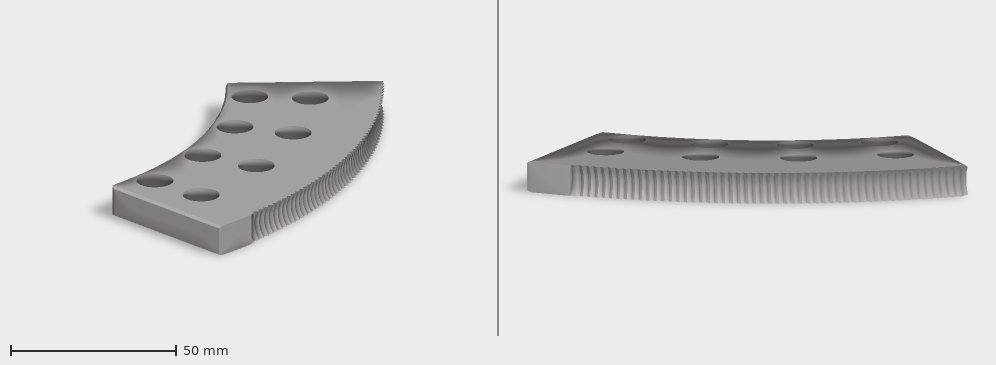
import cadquery as cq
import math

thickness = 9.5
sector_angle = 48.3
outer_radius = 163.5
inner_radius = 115.2
corner_radius = 3.0

end_bevel_width = 1.3
end_bevel_depth = 0.5
inner_bevel = 0.7

hole_diameter = 11.2
hole_row_radii = (122.8, 141.1)
holes_per_row = 4
hole_spacing_angle = sector_angle / holes_per_row

worm_crest_radius = 7.3
throat_depth = 2.1
tooth_depth = 0.7
tooth_pitch_angle = 0.82
throat_start_angle = 5.0
first_groove_angle = 5.9

worm_axis_radius = outer_radius - throat_depth + worm_crest_radius
tooth_pitch = math.radians(tooth_pitch_angle) * worm_axis_radius
lead_angle = math.degrees(math.atan(tooth_pitch / (2 * math.pi * worm_crest_radius)))
half_thickness = thickness / 2


def polar(radius, angle):
    return (radius * math.cos(math.radians(angle)), radius * math.sin(math.radians(angle)))


def ring_sector():
    """Plate swept around the wheel axis, with its inner rim bevelled on both faces."""
    profile = [
        (outer_radius, -half_thickness),
        (outer_radius, half_thickness),
        (inner_radius + inner_bevel, half_thickness),
        (inner_radius, half_thickness - inner_bevel),
        (inner_radius, inner_bevel - half_thickness),
        (inner_radius + inner_bevel, -half_thickness),
    ]
    return cq.Workplane("XZ").polyline(profile).close().revolve(sector_angle, (0, 0), (0, 1))


def end_bevel_cutters():
    """Triangular bars that bevel the straight end on the X axis, on both faces."""
    corner = [
        (0, half_thickness),
        (end_bevel_width, half_thickness),
        (0, half_thickness - end_bevel_depth),
    ]
    bar = cq.Workplane("YZ").polyline(corner).close().extrude(outer_radius)
    return bar.union(bar.mirror("XY"))


def worm_groove(angle):
    """V-shaped disc around the worm axis, tilted by the lead angle."""
    groove_tip_radius = worm_crest_radius + tooth_depth
    profile = [(0, -tooth_pitch / 2), (worm_crest_radius, -tooth_pitch / 2),
               (groove_tip_radius, 0), (worm_crest_radius, tooth_pitch / 2), (0, tooth_pitch / 2)]
    disc = cq.Workplane("XY").polyline(profile).close().revolve(360, (0, 0), (0, 1))
    disc = disc.rotate((0, 0, 0), (1, 0, 0), lead_angle)
    return disc.translate((worm_axis_radius, 0, 0)).rotate((0, 0, 0), (0, 0, 1), angle)


def throat():
    """Ring following the worm crest, running out past the slanted end of the segment."""
    sweep_angle = sector_angle - throat_start_angle + tooth_pitch_angle
    ring = cq.Workplane("XZ").center(worm_axis_radius, 0).circle(worm_crest_radius)
    ring = ring.revolve(sweep_angle, (-worm_axis_radius, 0), (-worm_axis_radius, 1))
    return ring.rotate((0, 0, 0), (0, 0, 1), throat_start_angle)


def corner_rounding_cutter():
    """Upright bar that leaves a round where the X-axis end meets the inner rim."""
    centre_x = math.sqrt((inner_radius + corner_radius) ** 2 - corner_radius ** 2)
    tangent_scale = inner_radius / (inner_radius + corner_radius)
    rim_point = (centre_x * tangent_scale, corner_radius * tangent_scale)
    arc_mid_angle = (180 + math.degrees(math.atan2(corner_radius, centre_x)) + 270) / 2
    mid_offset = polar(corner_radius, arc_mid_angle)
    arc_mid = (centre_x + mid_offset[0], corner_radius + mid_offset[1])
    outside_x = inner_radius - corner_radius
    return (
        cq.Workplane("XY")
        .moveTo(centre_x, 0)
        .threePointArc(arc_mid, rim_point)
        .lineTo(outside_x, rim_point[1])
        .lineTo(outside_x, -corner_radius)
        .lineTo(centre_x, -corner_radius)
        .close()
        .extrude(half_thickness, both=True)
    )


def on_both_ends(cutter):
    """The cutter for the X-axis end, and its mirror image at the slanted end."""
    slanted = cutter.mirror("XZ").rotate((0, 0, 0), (0, 0, 1), sector_angle)
    return (cutter, slanted)


result = ring_sector()

for end_cutter in (end_bevel_cutters(), corner_rounding_cutter()):
    for cutter in on_both_ends(end_cutter):
        result = result.cut(cutter)

hole_points = [
    polar(row_radius, (index + 0.5) * hole_spacing_angle)
    for row_radius in hole_row_radii
    for index in range(holes_per_row)
]
holes = cq.Workplane("XY").pushPoints(hole_points).circle(hole_diameter / 2)
result = result.cut(holes.extrude(half_thickness, both=True))

result = result.cut(throat())
groove_count = math.ceil((sector_angle - first_groove_angle) / tooth_pitch_angle) + 1
for groove_index in range(groove_count):
    result = result.cut(worm_groove(first_groove_angle + groove_index * tooth_pitch_angle))